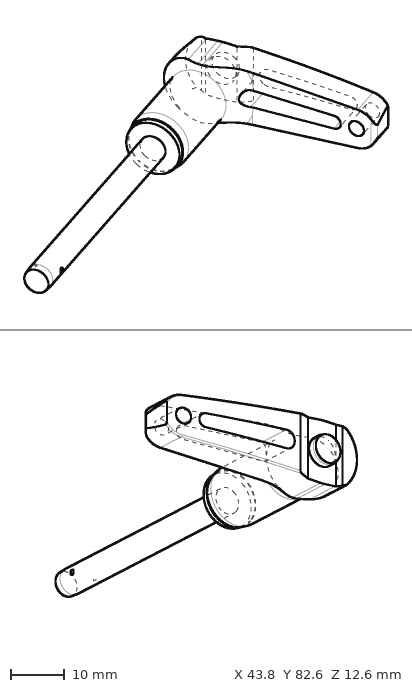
import cadquery as cq
import math

TOTAL_LENGTH = 82.6

PIN_DIAMETER = 5.2
PIN_RADIUS = PIN_DIAMETER / 2
TIP_RADIUS = 2.5
TIP_LENGTH = 1.65
BALL_RADIUS = 0.6
BALL_Y = 5.45
BALL_PROTRUSION = 0.25
BUTTON_RADIUS = 3.0
BUTTON_CHAMFER_LENGTH = 0.6
BUTTON_CHAMFER_DEPTH = 0.2

COLLAR_BOTTOM_Y = 50.8
COLLAR_TOP_Y = 52.0
COLLAR_RADIUS = 5.45
BARREL_BOTTOM_Y = 53.8
BARREL_BOTTOM_RADIUS = 5.6
BARREL_RADIUS = 5.95
FLARE_START_Y = 70.05
FLARE_RADIUS = 4.1
FLARE_TOP_Y = FLARE_START_Y + FLARE_RADIUS

HEAD_WIDTH = 12.6
HEAD_HALF_WIDTH = HEAD_WIDTH / 2
HEAD_LEFT_X = -8.6
HEAD_ROUND_X = -3.0
HEAD_ROUND_HALF_WIDTH = 6.2
HEAD_FLAT_START_X = -0.7
HEAD_FLAT_END_X = 0.3
ARM_END_RADIUS = 4.2
EYELET_X = 31.2

HEAD_TOP_Y = 81.3
SEAT_Y = 80.7
SEAT_HALF_LENGTH = 3.2
SEAT_RIM_X = -4.3
HUMP_X = 5.95
HUMP_Y = 82.0
ARM_MIDDLE_X = 19.0
ARM_MIDDLE_TOP_Y = 81.4
ARM_TIP_TOP_X = 34.7
ARM_TIP_TOP_Y = 79.55
ARM_TIP_BOTTOM_X = 35.3
ARM_TIP_BOTTOM_Y = 72.85
ARM_TIP_FILLET = 0.9
ARM_TOP_FILLET = 0.3
ARM_BOTTOM_X = 9.4

BACK_FACE_RADIUS = 7.8
BACK_FACE_LEAN = 1.0

EYELET_RADIUS = 1.6
SLOT_LEFT_X = 7.2
SLOT_RIGHT_X = 27.9
SLOT_LEFT_WIDTH = 3.7
SLOT_LEFT_RADIUS = SLOT_LEFT_WIDTH / 2
SLOT_RIGHT_RADIUS = 1.4


def across_pin(y):
    """Workplane across the pin at y: local x is X, local y is Z; negative lengths extrude towards +Y."""
    return cq.Workplane(cq.Plane((0, y, 0), xDir=(1, 0, 0), normal=(0, -1, 0)))


def tapered_slot(sketch, left_x, right_x, left_radius, right_radius):
    """Outline of two round ends joined by their common tangents."""
    left_center = left_x + left_radius
    right_center = right_x - right_radius
    slope = math.asin((left_radius - right_radius) / (right_center - left_center))
    left_tangent = (left_center + left_radius * math.sin(slope), left_radius * math.cos(slope))
    right_tangent = (right_center + right_radius * math.sin(slope), right_radius * math.cos(slope))
    return (
        sketch.moveTo(*left_tangent)
        .lineTo(*right_tangent)
        .threePointArc((right_x, 0), (right_tangent[0], -right_tangent[1]))
        .lineTo(left_tangent[0], -left_tangent[1])
        .threePointArc((left_x, 0), left_tangent)
        .close()
    )


def make_grip_outline():
    """Teardrop prism that bounds the head, arm and flare."""
    run = EYELET_X - HEAD_FLAT_END_X
    angle = math.atan2(HEAD_HALF_WIDTH, run) - math.asin(ARM_END_RADIUS / math.hypot(run, HEAD_HALF_WIDTH))
    end_x = EYELET_X + ARM_END_RADIUS * math.sin(angle)
    end_z = ARM_END_RADIUS * math.cos(angle)
    return (
        across_pin(FLARE_START_Y)
        .moveTo(HEAD_ROUND_X, HEAD_ROUND_HALF_WIDTH)
        .lineTo(HEAD_FLAT_START_X, HEAD_HALF_WIDTH)
        .lineTo(HEAD_FLAT_END_X, HEAD_HALF_WIDTH)
        .lineTo(end_x, end_z)
        .threePointArc((EYELET_X + ARM_END_RADIUS, 0), (end_x, -end_z))
        .lineTo(HEAD_FLAT_END_X, -HEAD_HALF_WIDTH)
        .lineTo(HEAD_FLAT_START_X, -HEAD_HALF_WIDTH)
        .lineTo(HEAD_ROUND_X, -HEAD_ROUND_HALF_WIDTH)
        .threePointArc((HEAD_LEFT_X, 0), (HEAD_ROUND_X, HEAD_ROUND_HALF_WIDTH))
        .close()
        .extrude(FLARE_START_Y - TOTAL_LENGTH)
    )


def make_arm_profile():
    """Side profile of the head and arm, extruded over the full head width."""
    return (
        cq.Workplane("XY")
        .moveTo(HEAD_LEFT_X, FLARE_TOP_Y)
        .lineTo(HEAD_LEFT_X, HEAD_TOP_Y)
        .lineTo(SEAT_RIM_X, HEAD_TOP_Y)
        .lineTo(-SEAT_HALF_LENGTH, SEAT_Y)
        .lineTo(SEAT_HALF_LENGTH, SEAT_Y)
        .lineTo(HUMP_X, HUMP_Y)
        .threePointArc((ARM_MIDDLE_X, ARM_MIDDLE_TOP_Y), (ARM_TIP_TOP_X, ARM_TIP_TOP_Y))
        .lineTo(ARM_TIP_BOTTOM_X, ARM_TIP_BOTTOM_Y)
        .lineTo(ARM_BOTTOM_X, FLARE_TOP_Y)
        .close()
        .extrude(HEAD_HALF_WIDTH, both=True)
        .edges(cq.selectors.NearestToPointSelector((ARM_TIP_BOTTOM_X, ARM_TIP_BOTTOM_Y, 0)))
        .fillet(ARM_TIP_FILLET)
    )


def make_flare():
    """Concave round spreading from the barrel to the underside of the head."""
    diagonal = FLARE_RADIUS * math.sqrt(0.5)
    outer_radius = BARREL_RADIUS + FLARE_RADIUS
    return (
        cq.Workplane("XY")
        .moveTo(0, FLARE_START_Y)
        .lineTo(BARREL_RADIUS, FLARE_START_Y)
        .threePointArc((outer_radius - diagonal, FLARE_START_Y + diagonal), (outer_radius, FLARE_TOP_Y))
        .lineTo(0, FLARE_TOP_Y)
        .close()
        .revolve(360, (0, 0, 0), (0, 1, 0))
    )


def make_back_face_limit():
    """Leaning round-backed prism; the head keeps only what lies inside it."""
    rise = HEAD_TOP_Y - FLARE_TOP_Y
    lean_angle = math.atan2(BACK_FACE_LEAN, rise)
    plane = cq.Plane(
        (HEAD_LEFT_X, FLARE_TOP_Y, 0),
        xDir=(math.cos(lean_angle), -math.sin(lean_angle), 0),
        normal=(-math.sin(lean_angle), -math.cos(lean_angle), 0),
    )
    reach = TOTAL_LENGTH
    return (
        cq.Workplane(plane)
        .moveTo(BACK_FACE_RADIUS, BACK_FACE_RADIUS)
        .threePointArc((0, 0), (BACK_FACE_RADIUS, -BACK_FACE_RADIUS))
        .lineTo(reach, -BACK_FACE_RADIUS)
        .lineTo(reach, BACK_FACE_RADIUS)
        .close()
        .extrude(reach, both=True)
    )


def make_grip():
    head_and_arm = make_arm_profile().intersect(make_back_face_limit())
    grip = head_and_arm.union(make_flare()).intersect(make_grip_outline())
    grip = (
        grip.faces(cq.selectors.NearestToPointSelector((ARM_MIDDLE_X, ARM_MIDDLE_TOP_Y, 0)))
        .edges("not |Z")
        .fillet(ARM_TOP_FILLET)
    )
    slot = tapered_slot(
        across_pin(0), SLOT_LEFT_X, SLOT_RIGHT_X, SLOT_LEFT_RADIUS, SLOT_RIGHT_RADIUS
    ).extrude(-TOTAL_LENGTH)
    eyelet = across_pin(0).center(EYELET_X, 0).circle(EYELET_RADIUS).extrude(-TOTAL_LENGTH)
    return grip.cut(slot).cut(eyelet)


def make_spindle():
    """Pin, collar, barrel and button turned as one stepped shaft."""
    outline = [
        (0, 0),
        (TIP_RADIUS, 0),
        (PIN_RADIUS, TIP_LENGTH),
        (PIN_RADIUS, COLLAR_BOTTOM_Y),
        (COLLAR_RADIUS, COLLAR_BOTTOM_Y),
        (COLLAR_RADIUS, COLLAR_TOP_Y),
        (BARREL_BOTTOM_RADIUS, COLLAR_TOP_Y),
        (BARREL_RADIUS, BARREL_BOTTOM_Y),
        (BARREL_RADIUS, FLARE_START_Y),
        (BUTTON_RADIUS, FLARE_START_Y),
        (BUTTON_RADIUS, TOTAL_LENGTH - BUTTON_CHAMFER_LENGTH),
        (BUTTON_RADIUS - BUTTON_CHAMFER_DEPTH, TOTAL_LENGTH),
        (0, TOTAL_LENGTH),
    ]
    return cq.Workplane("XY").polyline(outline).close().revolve(360, (0, 0, 0), (0, 1, 0))


def make_ball(side):
    center_x = side * (PIN_RADIUS + BALL_PROTRUSION - BALL_RADIUS)
    return cq.Workplane("XY").sphere(BALL_RADIUS).translate((center_x, BALL_Y, 0))


result = make_spindle().union(make_grip())
for side in (-1, 1):
    result = result.union(make_ball(side))